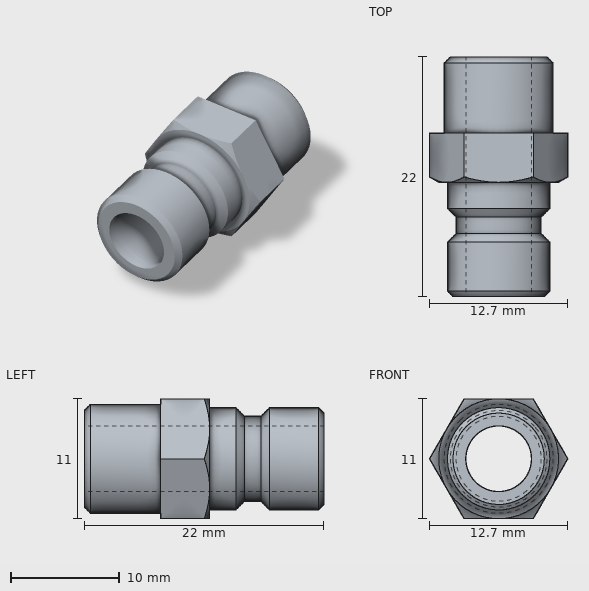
import cadquery as cq
import math

total_length = 22.0
groove_start = 5.0
groove_end = 8.1
hex_start = 10.5
hex_end = 15.0

plug_diameter = 9.4
groove_diameter = 7.8
shank_diameter = 10.0
bore_diameter = 6.0
hex_across_flats = 11.0

plug_chamfer = 0.5
shank_chamfer = 0.57
hex_chamfer_angle = 30.0

plug_radius = plug_diameter / 2
groove_radius = groove_diameter / 2
shank_radius = shank_diameter / 2
groove_depth = plug_radius - groove_radius
hex_across_corners = hex_across_flats / math.cos(math.radians(30))


def revolve_about_y(points):
    """Revolve a closed (radius, Y) outline around the Y axis."""
    return cq.Workplane("XY").polyline(points).close().revolve(360, (0, 0), (0, 1))


def make_turned_body():
    """Plug with a 45-degree-sided locking groove, and the shank behind the hexagon."""
    return revolve_about_y([
        (0, 0),
        (plug_radius - plug_chamfer, 0),
        (plug_radius, plug_chamfer),
        (plug_radius, groove_start),
        (groove_radius, groove_start + groove_depth),
        (groove_radius, groove_end - groove_depth),
        (plug_radius, groove_end),
        (plug_radius, hex_end),
        (shank_radius, hex_end),
        (shank_radius, total_length - shank_chamfer),
        (shank_radius - shank_chamfer, total_length),
        (0, total_length),
    ])


def make_hexagon():
    """Hexagon with corners on X, its plug-side corners trimmed by a cone."""
    prism = (
        cq.Workplane("XZ", origin=(0, hex_start, 0))
        .polygon(6, hex_across_corners)
        .extrude(hex_start - hex_end)
    )
    cone_start_radius = hex_across_flats / 2
    cone_end_radius = hex_across_corners
    cone_length = (cone_end_radius - cone_start_radius) * math.tan(math.radians(hex_chamfer_angle))
    cone_end = hex_start + cone_length
    envelope = revolve_about_y([
        (0, hex_start),
        (cone_start_radius, hex_start),
        (cone_end_radius, cone_end),
        (cone_end_radius, hex_end),
        (0, hex_end),
    ])
    return prism.intersect(envelope)


bore = cq.Workplane("XZ").circle(bore_diameter / 2).extrude(-total_length)

result = make_turned_body().union(make_hexagon()).cut(bore)